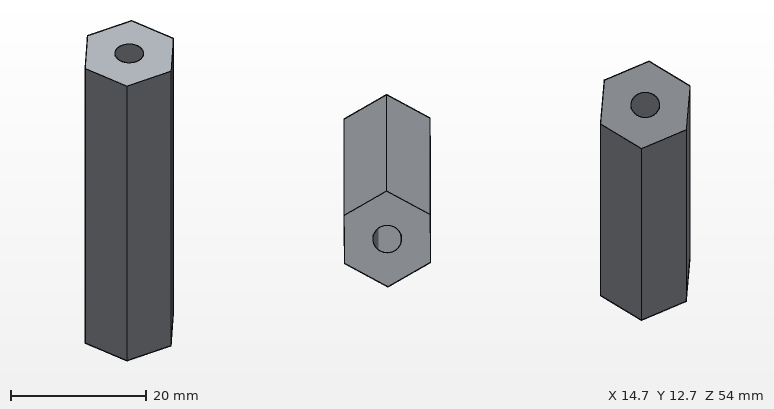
import cadquery as cq

length = 54.0
across_corners = 14.7
bore_diameter = 4.2

hex_bar = cq.Workplane("XY").polygon(6, across_corners).extrude(length)

result = hex_bar.faces(">Z").workplane().hole(bore_diameter)